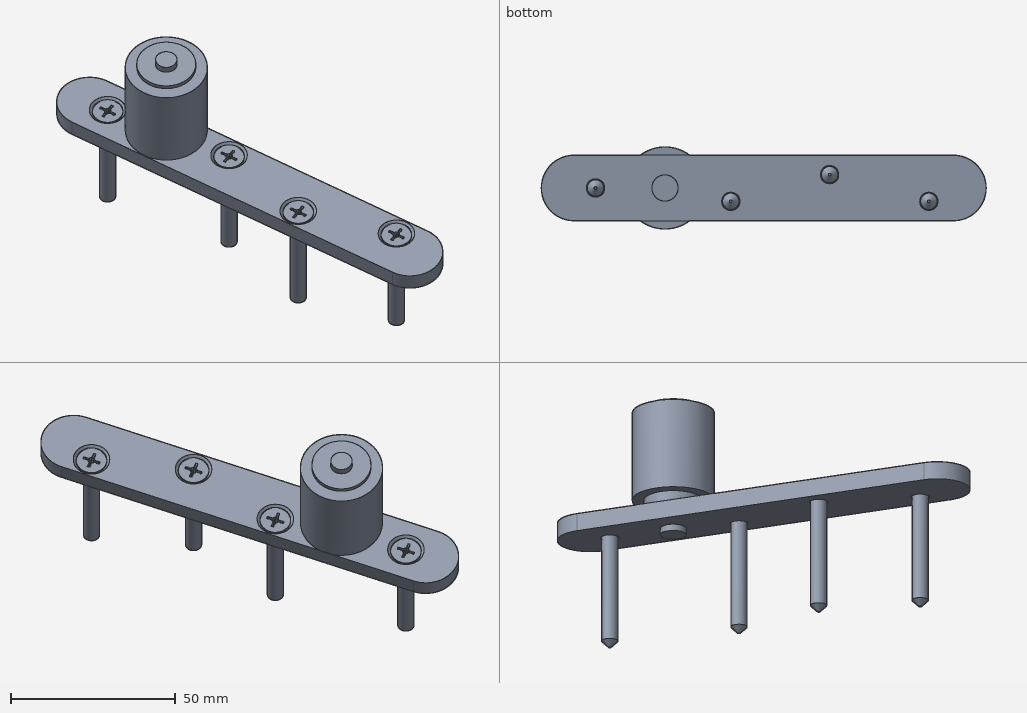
import cadquery as cq

plate_length = 135.0
plate_width = 20.0
plate_thickness = 5.5

axle_x = 37.5
tail_diameter = 8.0
tail_protrusion = 2.0
flange_diameter = 18.0
flange_height = 3.5
journal_diameter = 14.0
stub_diameter = 6.5
stub_protrusion = 2.0

roller_diameter = 25.0
roller_bore = 14.2
roller_height = 28.1
roller_play = 0.3

washer_diameter = flange_diameter
washer_bore = 6.6
washer_thickness = 1.2

screw_row_offset = 4.0
screw_positions = [
    (16.5, 0.0),
    (57.5, screw_row_offset),
    (87.5, -screw_row_offset),
    (117.6, screw_row_offset),
]
screw_hole_diameter = 5.5
countersink_diameter = 11.1
countersink_angle = 90.0
head_diameter = 9.3
head_rim_height = 0.4
shank_diameter = 5.0
screw_protrusion = 35.2
tip_height = 2.0
tip_diameter = 0.8
cross_length = 5.4
cross_slot_width = 0.7
cross_depth = 2.3
cross_bottom_diameter = 1.4
pit_diameter = 2.0
pit_depth = 2.7

flange_top = plate_thickness + flange_height
journal_top = flange_top + roller_height + roller_play
washer_top = journal_top + washer_thickness

rim_bottom = plate_thickness - (countersink_diameter - head_diameter) / 2
head_top = rim_bottom + head_rim_height
head_bottom = rim_bottom - (head_diameter - shank_diameter) / 2


def cylinder(x, y, bottom, top, diameter):
    """Upright cylinder between two heights."""
    return cq.Workplane("XY", origin=(x, y, bottom)).circle(diameter / 2).extrude(top - bottom)


def make_plate():
    """Bar with a hole for the axle's tail and countersunk screw holes."""
    bar = (
        cq.Workplane("XY")
        .center(plate_length / 2, 0)
        .slot2D(plate_length, plate_width)
        .extrude(plate_thickness)
    )
    bar = bar.cut(cylinder(axle_x, 0, 0, plate_thickness, tail_diameter))
    return (
        bar.faces(">Z")
        .workplane(origin=(0, 0, plate_thickness))
        .pushPoints(screw_positions)
        .cskHole(screw_hole_diameter, countersink_diameter, countersink_angle)
    )


def make_axle():
    """Stepped axle standing on the plate by its flange, with its tail through the plate."""
    tail = cylinder(axle_x, 0, -tail_protrusion, plate_thickness, tail_diameter)
    flange = cylinder(axle_x, 0, plate_thickness, flange_top, flange_diameter)
    journal = cylinder(axle_x, 0, flange_top, journal_top, journal_diameter)
    stub = cylinder(axle_x, 0, journal_top, washer_top + stub_protrusion, stub_diameter)
    return tail.union(flange).union(journal).union(stub)


def make_ring(bottom, height, outer_diameter, bore):
    """Plain ring centred on the axle."""
    return (
        cq.Workplane("XY", origin=(axle_x, 0, bottom))
        .circle(outer_diameter / 2)
        .circle(bore / 2)
        .extrude(height)
    )


def make_recess_cone(depth, top_diameter, bottom_diameter):
    """Downward-narrowing cone on the Z axis, with its wide end level with the head's top."""
    return cq.Workplane("XY").add(
        cq.Solid.makeCone(
            bottom_diameter / 2, top_diameter / 2, depth, pnt=cq.Vector(0, 0, head_top - depth)
        )
    )


def make_cross_recess():
    """Driver recess: a cross with sloping arm ends and a conical pit at its centre."""
    floor = cq.Workplane("XY", origin=(0, 0, head_top - cross_depth))
    slot_along_x = floor.rect(cross_length, cross_slot_width).extrude(cross_depth)
    slot_along_y = floor.rect(cross_slot_width, cross_length).extrude(cross_depth)
    arm_end_cone = make_recess_cone(cross_depth, cross_length, cross_bottom_diameter)
    pit = make_recess_cone(pit_depth, pit_diameter, 0)
    return slot_along_x.union(slot_along_y).intersect(arm_end_cone).union(pit)


def make_screw(x, y):
    """Countersunk screw with a conical tip and a cross recess in its head."""
    tip_bottom = -screw_protrusion
    outline = [
        (0, tip_bottom),
        (tip_diameter / 2, tip_bottom),
        (shank_diameter / 2, tip_bottom + tip_height),
        (shank_diameter / 2, head_bottom),
        (head_diameter / 2, rim_bottom),
        (head_diameter / 2, head_top),
        (0, head_top),
    ]
    body = cq.Workplane("XZ").polyline(outline).close().revolve(360, (0, 0), (0, 1))
    return body.cut(make_cross_recess()).translate((x, y, 0))


plate = make_plate()
axle = make_axle()
roller = make_ring(flange_top, roller_height, roller_diameter, roller_bore)
washer = make_ring(journal_top, washer_thickness, washer_diameter, washer_bore)
screws = [make_screw(x, y) for x, y in screw_positions]

result = cq.Compound.makeCompound(
    [plate.val(), axle.val(), roller.val(), washer.val(), *[screw.val() for screw in screws]]
)